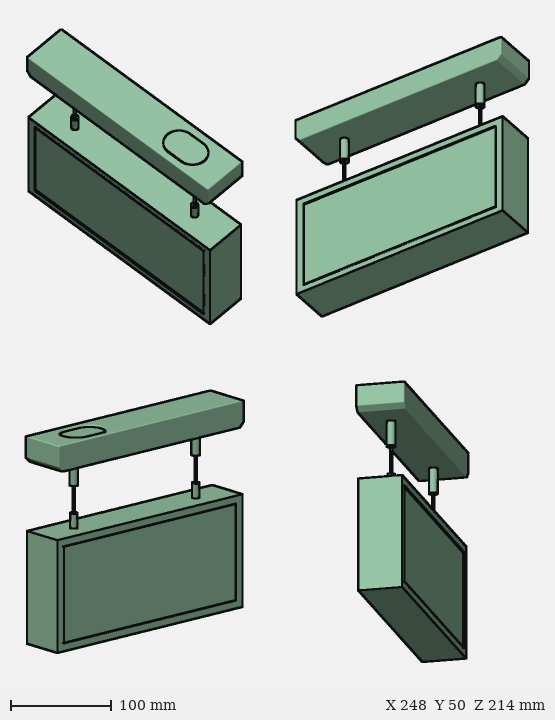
import cadquery as cq

length = 248.0
total_height = 214.0

box_depth = 45.1
box_height = 116.5
frame_side_width = 8.7
frame_rail_height = 8.5
panel_recess = 1.2

suspension_x = 81.5
lower_sleeve_diameter = 7.5
lower_sleeve_height = 15.1
rod_diameter = 2.5
upper_sleeve_diameter = 9.0
upper_sleeve_height = 25.8

canopy_depth = 50.0
canopy_height = 27.5
end_chamfer = 5.5
edge_round = 1.2
canopy_base = total_height - canopy_height

pocket_x = 69.7
pocket_length = 53.3
pocket_width = 35.2
pocket_depth = 2.0
pocket_rim_round = 1.7


def make_sign_box():
    """Box with a shallow rectangular panel recess in its front and back faces."""
    box = cq.Workplane("XY").box(length, box_depth, box_height, centered=(True, True, False))
    panel_length = length - 2 * frame_side_width
    panel_height = box_height - 2 * frame_rail_height
    for face in ("<Y", ">Y"):
        box = (
            box.faces(face).workplane(centerOption="CenterOfBoundBox")
            .rect(panel_length, panel_height)
            .cutBlind(-panel_recess)
        )
    return box


def make_canopy():
    """Rounded bar with sloping lower ends and an oval pocket in its top face."""
    canopy = (
        cq.Workplane("XY", origin=(0, 0, canopy_base))
        .box(length, canopy_depth, canopy_height, centered=(True, True, False))
        .faces("<Z").edges("|Y").chamfer(end_chamfer)
        .edges().fillet(edge_round)
    )
    floor_length = pocket_length - 2 * pocket_rim_round
    floor_width = pocket_width - 2 * pocket_rim_round
    pocket = (
        cq.Workplane("XY", origin=(pocket_x, 0, total_height))
        .slot2D(floor_length, floor_width)
        .extrude(-pocket_depth)
    )
    pocket_region = cq.selectors.BoxSelector(
        (pocket_x - pocket_length / 2, -pocket_width / 2, total_height - pocket_depth / 2),
        (pocket_x + pocket_length / 2, pocket_width / 2, total_height + pocket_depth / 2),
    )
    return canopy.cut(pocket).edges(pocket_region).fillet(pocket_rim_round)


def make_suspension(x):
    """Thin rod between a lower sleeve on the box and an upper sleeve under the canopy."""
    def cylinder(diameter, base, height):
        return cq.Workplane("XY", origin=(x, 0, base)).circle(diameter / 2).extrude(height)

    lower_sleeve = cylinder(lower_sleeve_diameter, box_height, lower_sleeve_height)
    rod = cylinder(rod_diameter, box_height, canopy_base - box_height)
    upper_sleeve = cylinder(
        upper_sleeve_diameter, canopy_base - upper_sleeve_height, upper_sleeve_height
    )
    return lower_sleeve.union(rod).union(upper_sleeve)


result = make_sign_box().union(make_canopy())
for side in (-1, 1):
    result = result.union(make_suspension(side * suspension_x))